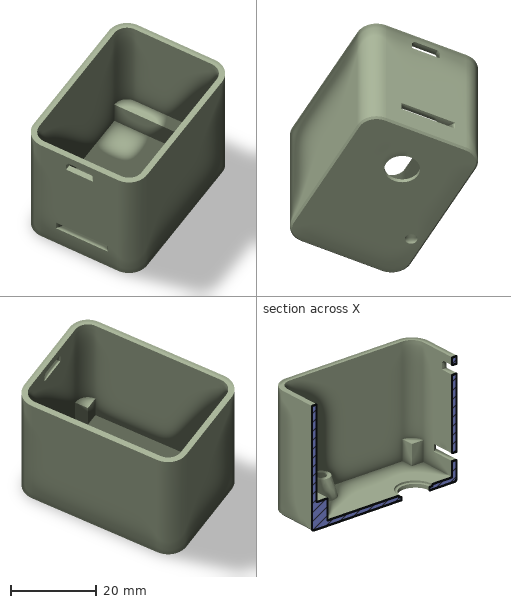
import cadquery as cq

length_x = 31.0
length_y = 44.0
height = 32.5
wall = 1.5
floor = 1.5
corner_radius = 4.95
base_chamfer = 0.5
inner_x = length_x - 2 * wall
inner_y = length_y - 2 * wall

support_top = 7.2
support_size = 3.48

boss_y = 9.45
boss_base_x = 11.25
boss_top_x = 11.9
boss_base_diameter = 7.3
boss_top_diameter = 5.0
boss_top = 6.5
screw_diameter = 3.0

opening_y = -9.5
opening_diameter = 8.4
recess_diameter = 10.0
recess_depth = 0.5

window_width = 7.4
window_bottom = 28.0
window_top = 30.4
window_cut_x = 0.6
window_cut_z = 0.8

slot_x = 0.55
slot_bottom = 5.65
slot_top = 7.6
slot_outer_width = 14.12
slot_inner_width = 12.1


def make_cavity():
    return (
        cq.Workplane("XY", origin=(0, 0, floor))
        .rect(inner_x, inner_y)
        .extrude(height - floor)
        .edges("|Z")
        .fillet(corner_radius - wall)
    )


def make_shell(cavity):
    block = cq.Workplane("XY").rect(length_x, length_y).extrude(height)
    block = block.edges("|Z").fillet(corner_radius)
    return block.faces("<Z").chamfer(base_chamfer).cut(cavity)


def make_supports():
    """Full-width ledge at +Y and a square post in each -Y corner."""
    rise = support_top - floor
    offset_x = (inner_x - support_size) / 2
    offset_y = (inner_y - support_size) / 2
    ledge = cq.Workplane("XY", origin=(0, offset_y, floor)).rect(inner_x, support_size).extrude(rise)
    posts = (
        cq.Workplane("XY", origin=(0, -offset_y, floor))
        .pushPoints([(-offset_x, 0), (offset_x, 0)])
        .rect(support_size, support_size)
        .extrude(rise)
    )
    return ledge.union(posts)


def make_boss():
    return (
        cq.Workplane("XY", origin=(boss_base_x, boss_y, floor))
        .circle(boss_base_diameter / 2)
        .workplane(offset=boss_top - floor)
        .center(boss_top_x - boss_base_x, 0)
        .circle(boss_top_diameter / 2)
        .loft(ruled=True)
    )


def make_floor_holes():
    screw_hole = cq.Workplane("XY").center(boss_top_x, boss_y).circle(screw_diameter / 2).extrude(boss_top)
    opening = cq.Workplane("XY").center(0, opening_y).circle(opening_diameter / 2).extrude(floor)
    recess = (
        cq.Workplane("XY", origin=(0, opening_y, floor - recess_depth))
        .circle(recess_diameter / 2)
        .extrude(recess_depth)
    )
    return screw_hole.union(opening).union(recess)


def make_window():
    half = window_width / 2
    shoulder = window_top - window_cut_z
    return (
        cq.Workplane("XZ", origin=(0, -length_y / 2, 0))
        .polyline([
            (-half, window_bottom),
            (half, window_bottom),
            (half, shoulder),
            (half - window_cut_x, window_top),
            (window_cut_x - half, window_top),
            (-half, shoulder),
        ])
        .close()
        .extrude(-wall)
    )


def make_slot():
    outer_y = -length_y / 2
    inner_face_y = outer_y + wall
    return (
        cq.Workplane("XY", origin=(slot_x, 0, slot_bottom))
        .polyline([
            (-slot_outer_width / 2, outer_y),
            (slot_outer_width / 2, outer_y),
            (slot_inner_width / 2, inner_face_y),
            (-slot_inner_width / 2, inner_face_y),
        ])
        .close()
        .extrude(slot_top - slot_bottom)
    )


cavity = make_cavity()
inside_features = make_supports().union(make_boss()).intersect(cavity)
result = make_shell(cavity).union(inside_features)
result = result.cut(make_floor_holes()).cut(make_window()).cut(make_slot())